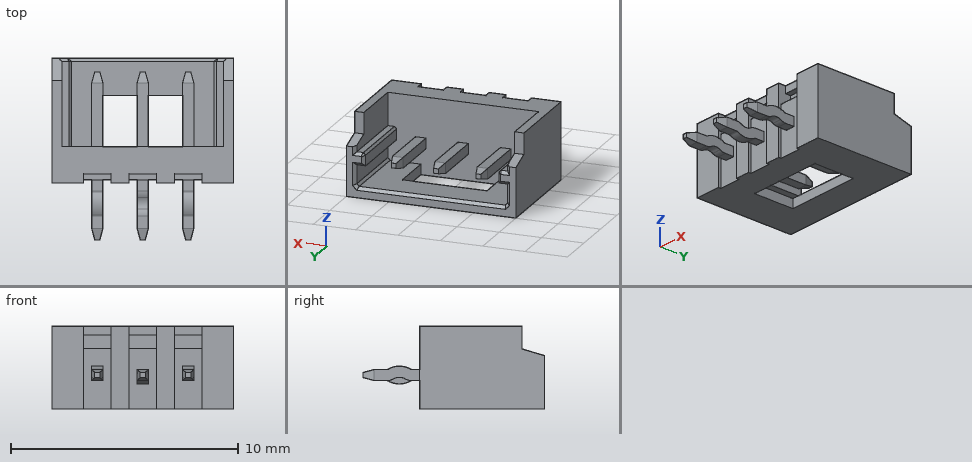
import cadquery as cq
import math

width = 8.0
height = 3.65
total_length = 8.0
body_depth = 5.5

selection_margin = 0.001

rear_wall = 1.6
side_wall = 0.44
floor_thickness = 0.5
mouth_chamfer = 0.14
floor_corner_chamfer = 0.11

rib_reach = 0.42
rib_bottom = 1.49
rib_height = 0.61
rib_chamfer = 0.1

step_length = 0.99
step_drop = 1.0
step_front_drop = 1.3

pitch = 2.0
contact_x = (-pitch, 0.0, pitch)
pin_size = 0.5
pin_z = 1.5
pin_front_y = 4.9
pin_rear_y = body_depth - total_length
taper_length = 0.5
tip_size = 0.22

bend_y = -0.9
bend_angle = math.radians(30)
crest_radius = 1.0
shoulder_radius = 0.11

groove_width = 1.2
groove_depth = 0.14
relief_depth = 0.41
relief_height = 0.39
pocket_depth = 0.7
pocket_drop = 0.99

window_length = 2.25
window_width = 2 * pitch


def block(x_range, y_range, z_range):
    """Axis-aligned box between the given limits."""
    spans = [high - low for low, high in (x_range, y_range, z_range)]
    corner = (x_range[0], y_range[0], z_range[0])
    return cq.Workplane("XY").box(*spans, centered=False).translate(corner)


def make_cavity():
    """Cavity cross-section, including both ribs, run from the rear wall to the mouth."""
    wall_x = width / 2 - side_wall
    rib_x = wall_x - rib_reach
    rib_top = rib_bottom + rib_height
    right_side = [
        (wall_x - floor_corner_chamfer, floor_thickness),
        (wall_x, floor_thickness + floor_corner_chamfer),
        (wall_x, rib_bottom),
        (rib_x, rib_bottom),
        (rib_x, rib_top - rib_chamfer),
        (rib_x + rib_chamfer, rib_top),
        (wall_x, rib_top),
        (wall_x, height),
    ]
    left_side = [(-x, z) for x, z in reversed(right_side)]
    return (
        cq.Workplane("XZ", origin=(0, rear_wall, 0))
        .polyline(right_side + left_side)
        .close()
        .extrude(rear_wall - body_depth)
    )


def make_housing():
    """Box with the cavity, its chamfered mouth, the floor window and the stepped walls."""
    housing = block((-width / 2, width / 2), (0, body_depth), (0, height)).cut(make_cavity())
    mouth_edges = cq.selectors.BoxSelector(
        (-width / 2 + selection_margin, body_depth - selection_margin, selection_margin),
        (width / 2 - selection_margin, body_depth + selection_margin, height - selection_margin),
    )
    housing = housing.edges(mouth_edges).chamfer(mouth_chamfer)
    window = block(
        (-window_width / 2, window_width / 2),
        (rear_wall, rear_wall + window_length),
        (0, floor_thickness),
    )
    step = (
        cq.Workplane("YZ")
        .moveTo(body_depth, height)
        .lineTo(body_depth - step_length, height)
        .lineTo(body_depth - step_length, height - step_drop)
        .lineTo(body_depth, height - step_front_drop)
        .close()
        .extrude(width / 2, both=True)
    )
    return housing.cut(window).cut(step)


def make_rear_relief(x):
    """Full-height groove, upper relief and deeper pocket behind one contact."""
    x_range = (x - groove_width / 2, x + groove_width / 2)
    groove = block(x_range, (0, groove_depth), (0, height))
    relief = block(x_range, (0, relief_depth), (height - relief_height, height))
    pocket = block(x_range, (0, pocket_depth), (height - pocket_drop, height - relief_height))
    return groove.union(relief).union(pocket)


def arc_point(center, radius, angle):
    """Point on an arc, the angle measured from straight above the center towards +Y.

    A negative radius gives the opposite point, below the center.
    """
    return (center[0] + radius * math.sin(angle), center[1] + radius * math.cos(angle))


def make_bent_bar(x, direction):
    """Square bar with a constant-thickness bend, upwards for +1 and downwards for -1."""
    half = pin_size / 2
    reach = crest_radius + shoulder_radius
    shoulder_offset = reach * math.sin(bend_angle)
    shoulder_z = half + shoulder_radius
    crest_z = shoulder_z - reach * math.cos(bend_angle)
    rear_center = (bend_y - shoulder_offset, shoulder_z)
    crest_center = (bend_y, crest_z)
    front_center = (bend_y + shoulder_offset, shoulder_z)

    def bend(path, depth, heading):
        """Add the three arcs lying depth below the crest side, running to +Y (1) or -Y (-1)."""
        shoulder = shoulder_radius + depth
        first, last = (rear_center, front_center) if heading > 0 else (front_center, rear_center)
        turn = heading * bend_angle
        crest = crest_radius - depth
        return (
            path.threePointArc(arc_point(first, -shoulder, -turn / 2), arc_point(first, -shoulder, -turn))
            .threePointArc(arc_point(crest_center, crest, 0), arc_point(crest_center, crest, turn))
            .threePointArc(arc_point(last, -shoulder, turn / 2), arc_point(last, -shoulder, 0))
        )

    rear_y = pin_rear_y + taper_length
    front_y = pin_front_y - taper_length
    path = cq.Workplane("YZ").moveTo(rear_y, half).lineTo(rear_center[0], half)
    path = bend(path, 0, 1).lineTo(front_y, half).lineTo(front_y, -half)
    path = path.lineTo(front_center[0], -half)
    bar = bend(path, pin_size, -1).lineTo(rear_y, -half).close().extrude(half, both=True)
    if direction < 0:
        bar = bar.mirror("XY")
    return bar.translate((x, 0, pin_z))


def make_tip(x, end_y, heading):
    """Pyramid tip ending at end_y and pointing along heading (+1 or -1) in Y."""
    base_y = end_y - heading * taper_length
    return (
        cq.Workplane(cq.Plane((x, base_y, pin_z), (1, 0, 0), (0, heading, 0)))
        .rect(pin_size, pin_size)
        .workplane(offset=taper_length)
        .rect(tip_size, tip_size)
        .loft(ruled=True)
    )


result = make_housing()
for x in contact_x:
    result = result.cut(make_rear_relief(x))

for x in contact_x:
    bend_direction = -1 if x == 0 else 1
    result = result.union(make_bent_bar(x, bend_direction))
    result = result.union(make_tip(x, pin_front_y, 1)).union(make_tip(x, pin_rear_y, -1))